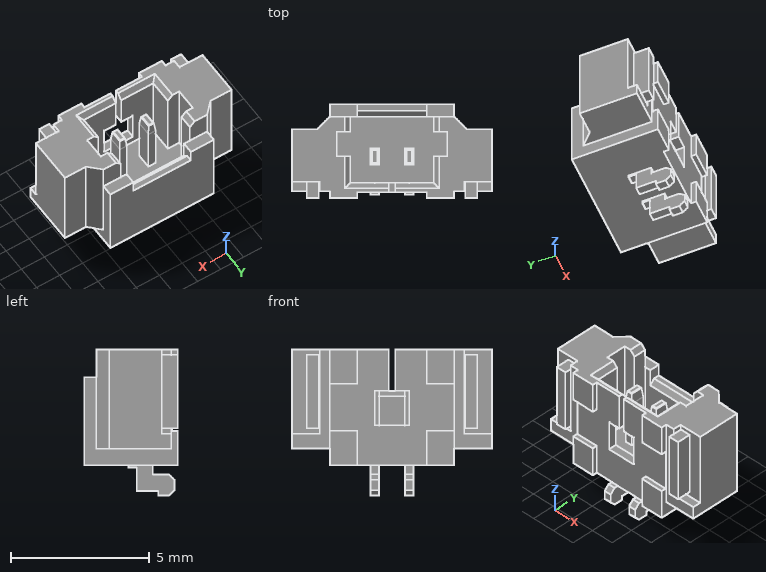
import cadquery as cq


width = 7.25
depth = 3.4
height = 4.2
core_width = 4.5
wing_base = 0.6
wing_front = 0.24
wing_back = 2.495
corner_bevel = 0.46
shoulder_back = wing_back + corner_bevel

pad_thickness = 0.2
pad_width = 1.0
pad_height = 1.25

low_wall_height = 3.2
notch_depth = 0.5
notch_width = core_width - 2 * pad_width

cavity_width = 3.015
cavity_front = 0.55
cavity_floor = 1.14
lead_in = 0.2
groove_width = 4.0
groove_front = 1.51
groove_back = 2.4

window_size = 1.25
window_top = low_wall_height - notch_depth
slot_width = 0.23

recess_inner = 2.625
recess_back = 0.595
recess_floor = 1.14
tab_width = 0.44
tab_gap = 0.02
tab_bottom = 1.34
tab_top = 3.995

pin_pitch = 1.25
pin_width = 0.31
pin_thickness = 0.59
pin_front = 1.21
pin_top = 3.5
taper_height = 0.4
taper_inset = 0.04
tip_bevel = 0.02
pin_heel = 0.09
tail_shift = 0.305
tail_top = 0.325
tail_underside = 0.935
foot_bottom = 1.1
foot_front = 0.12
foot_back = 0.72
foot_bevel = 0.2


def box(x_range, y_range, z_range):
    """Axis-aligned box from (low, high) pairs."""
    size = [high - low for low, high in (x_range, y_range, z_range)]
    corner = (x_range[0], y_range[0], z_range[0])
    return cq.Workplane("XY").box(*size, centered=False).translate(corner)


def centred(length):
    """Range of the given length centred on X = 0."""
    return (-length / 2, length / 2)


def mirrored(solid):
    """Join a solid with its mirror image across X = 0."""
    return solid.union(solid.mirror("YZ"))


def frustum(base_centre, base, height, top):
    """Upright solid lofted from a base rectangle to a top rectangle."""
    return (
        cq.Workplane("XY", origin=base_centre)
        .rect(*base)
        .workplane(offset=height)
        .rect(*top)
        .loft(ruled=True)
    )


def inset_size(size, inset):
    """Rectangle size after moving every side inward."""
    return [length - 2 * inset for length in size]


def make_housing():
    wings = (
        cq.Workplane("XY", origin=(0, 0, wing_base))
        .moveTo(-width / 2, wing_front)
        .lineTo(width / 2, wing_front)
        .lineTo(width / 2, wing_back)
        .lineTo(core_width / 2 + corner_bevel, wing_back)
        .lineTo(core_width / 2, shoulder_back)
        .lineTo(-core_width / 2, shoulder_back)
        .lineTo(-core_width / 2 - corner_bevel, wing_back)
        .lineTo(-width / 2, wing_back)
        .close()
        .extrude(height - wing_base)
    )
    core = box(centred(core_width), (pad_thickness, shoulder_back), (0, height))
    low_wall = box(centred(core_width), (shoulder_back, depth), (0, low_wall_height))
    return core.union(wings).union(low_wall)


def make_pads():
    x_range = (core_width / 2 - pad_width, core_width / 2)
    y_range = (0, pad_thickness)
    lower = box(x_range, y_range, (0, pad_height))
    upper = box(x_range, y_range, (height - pad_height, height))
    return mirrored(lower.union(upper))


def make_cavity():
    well = box(centred(cavity_width), (cavity_front, shoulder_back), (cavity_floor, height))
    grooves = box(centred(groove_width), (groove_front, groove_back), (cavity_floor, height))
    throat = (cavity_width, 2 * (shoulder_back - cavity_front))
    mouth = inset_size(throat, -lead_in)
    flare = frustum((0, shoulder_back, height - lead_in), throat, lead_in, mouth)
    front_half = box(centred(width), (0, shoulder_back), (0, height))
    lead_in_flare = flare.intersect(front_half)
    return well.union(grooves).union(lead_in_flare)


def make_low_wall_notch():
    profile = (
        cq.Workplane("YZ", origin=(-notch_width / 2, 0, 0))
        .moveTo(shoulder_back, window_top - lead_in)
        .lineTo(shoulder_back + lead_in, window_top)
        .lineTo(depth, window_top)
        .lineTo(depth, low_wall_height)
        .lineTo(shoulder_back, low_wall_height)
        .close()
    )
    return profile.extrude(notch_width)


def make_window_and_slot():
    wall = (pad_thickness, cavity_front)
    window = box(centred(window_size), wall, (window_top - window_size, window_top))
    slot = box(centred(slot_width), wall, (window_top, height))
    return window.union(slot)


def make_wing_recesses():
    return mirrored(box((recess_inner, width / 2), (wing_front, recess_back), (recess_floor, height)))


def make_solder_tabs():
    tab_inner = recess_inner + tab_gap
    return mirrored(box((tab_inner, tab_inner + tab_width), (0, recess_back), (tab_bottom, tab_top)))


def make_pin():
    pin_back = pin_front + pin_thickness
    taper_top = pin_top - tip_bevel
    taper_bottom = taper_top - taper_height
    post = box(centred(pin_width), (pin_front, pin_back), (-pin_heel, taper_bottom))
    section = (pin_width, pin_thickness)
    tip_section = inset_size(section, taper_inset)
    middle = (pin_front + pin_back) / 2
    taper = frustum((0, middle, taper_bottom), section, taper_height, tip_section)
    tip = frustum((0, middle, taper_top), tip_section, tip_bevel, inset_size(tip_section, tip_bevel))
    tail = (
        cq.Workplane("YZ", origin=(-pin_width / 2, 0, 0))
        .moveTo(pin_back - tail_shift, 0)
        .lineTo(pin_back - tail_shift, -tail_underside)
        .lineTo(foot_back, -tail_underside)
        .lineTo(foot_back, -foot_bottom)
        .lineTo(foot_front + foot_bevel, -foot_bottom)
        .lineTo(foot_front, -foot_bottom + foot_bevel)
        .lineTo(foot_front, -tail_top - foot_bevel)
        .lineTo(foot_front + foot_bevel, -tail_top)
        .lineTo(pin_front - tail_shift, -tail_top)
        .lineTo(pin_front - tail_shift, 0)
        .close()
        .extrude(pin_width)
    )
    return post.union(taper).union(tip).union(tail).translate((pin_pitch / 2, 0, 0))


housing = make_housing().union(make_pads())
for cutter in (make_cavity(), make_low_wall_notch(), make_window_and_slot(), make_wing_recesses()):
    housing = housing.cut(cutter)

result = housing.union(make_solder_tabs()).union(mirrored(make_pin()))